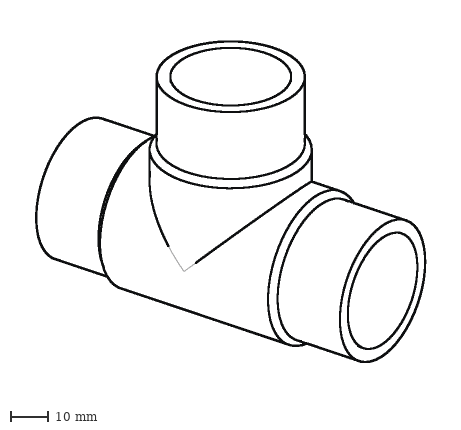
import cadquery as cq

arm_length = 50.0
pipe_diameter = 40.0
bore_diameter = 32.6
body_diameter = 43.7
spigot_length = 20.5

body_reach = arm_length - spigot_length
shoulder_chamfer = (body_diameter - pipe_diameter) / 2


def arm_outside(plane):
    """Solid arm from the tee centre: thick body, 45 degree shoulder, spigot."""
    body = (
        cq.Workplane(plane)
        .circle(body_diameter / 2)
        .extrude(body_reach)
        .faces(cq.selectors.DirectionMinMaxSelector(plane.zDir, True))
        .chamfer(shoulder_chamfer)
    )
    spigot = cq.Workplane(plane).circle(pipe_diameter / 2).extrude(arm_length)
    return body.union(spigot)


right_arm = arm_outside(cq.Plane.YZ())
left_arm = right_arm.mirror("YZ")
branch_arm = arm_outside(cq.Plane.XY())
outside = right_arm.union(left_arm).union(branch_arm)

run_bore = cq.Workplane("YZ").circle(bore_diameter / 2).extrude(arm_length, both=True)
branch_bore = cq.Workplane("XY").circle(bore_diameter / 2).extrude(arm_length)

result = outside.cut(run_bore).cut(branch_bore).clean()